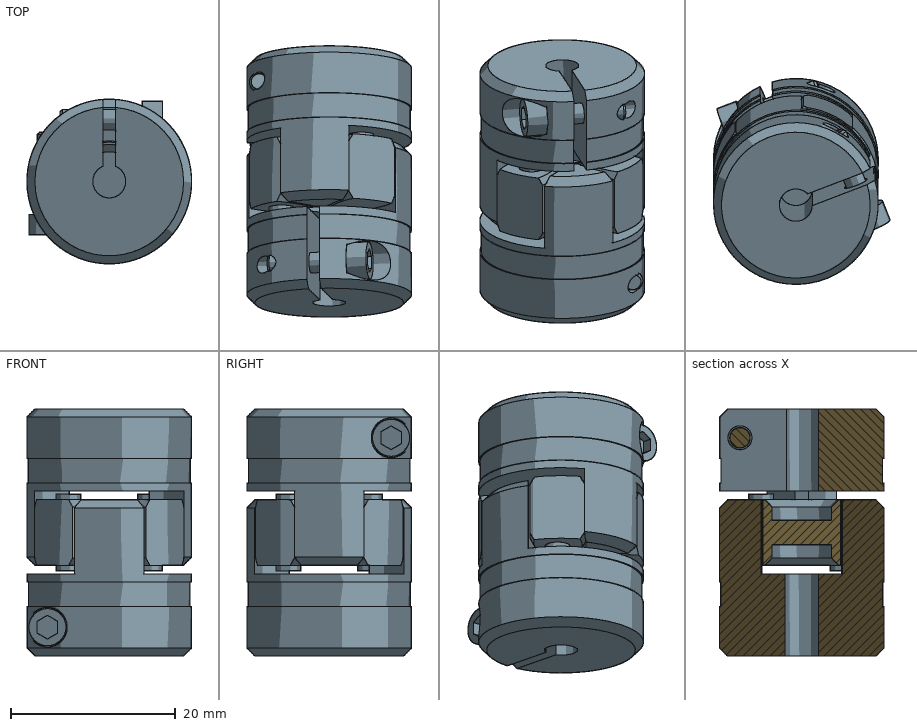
import cadquery as cq
import math


length = 30.0
outer_diameter = 20.0
outer_radius = outer_diameter / 2
half_length = length / 2

bore_diameter = 4.0
end_chamfer = 1.0
clamp_length = 6.0
groove_length = 3.0
groove_radius = 9.85
flange_thickness = 1.0
slot_width = 1.55
groove_top = half_length - clamp_length
groove_bottom = groove_top - groove_length
flange_face = groove_bottom - flange_thickness

jaw_end = 4.0
jaw_width = 8.5
jaw_inner_radius = 4.92
flank_center = 11.07
jaw_corner = math.sqrt(outer_radius**2 - (jaw_width / 2) ** 2)
flank_radius = math.hypot(jaw_corner, flank_center - jaw_width / 2)

screw_offset = 7.5
screw_height = half_length - 3.5
screw_diameter = 2.5
screw_seat = 4.0
screw_tip = 6.0
screw_tip_chamfer = 0.3
head_diameter = 4.5
head_length = 2.5
socket_width = 2.5
socket_depth = 1.25
counterbore_diameter = 4.8
clearance_diameter = 2.9
thread_diameter = 2.05

spider_half_height = jaw_end
spider_core_radius = 4.77
flank_gap = 0.2
lead_in_width = 0.48
lead_in_height = 0.87
recess_diameter = 7.2
recess_chamfer = 0.9
recess_depth = 2.5
bump_diameter = 3.0
bump_height = 0.65
bump_circle_radius = 7.0


def disc(radius, bottom, top):
    """Solid cylinder on the coupling axis between two heights."""
    return cq.Workplane("XY").workplane(offset=bottom).circle(radius).extrude(top - bottom)


def rod(diameter, start, end):
    """Solid cylinder on the upper clamp screw's axis, from one X to another."""
    plane = cq.Workplane("YZ", origin=(start, screw_offset, screw_height))
    return plane.circle(diameter / 2).extrude(end - start)


def spider_space():
    """Space between the two jaws of the upper hub, below its flange."""
    space = disc(jaw_inner_radius, -jaw_end, flange_face)
    for side in (-1, 1):
        flank = disc(flank_radius, -jaw_end, flange_face)
        space = space.union(flank.translate((0, side * flank_center, 0)))
    return space


def clamp_screw():
    """Socket head screw along X with its head toward +X."""
    shank = rod(screw_diameter, -screw_tip, screw_seat).faces("<X").chamfer(screw_tip_chamfer)
    head_end = screw_seat + head_length
    head = rod(head_diameter, screw_seat, head_end)
    socket = (
        cq.Workplane("YZ", origin=(head_end, screw_offset, screw_height))
        .polygon(6, socket_width, circumscribed=True)
        .extrude(-socket_depth)
    )
    return shank.union(head.cut(socket))


def clamp_hub():
    """Upper hub: clamp slot toward +Y, two jaws toward -Z at -X and +X."""
    hub = disc(outer_radius, -jaw_end, half_length).faces("<Z or >Z").chamfer(end_chamfer)
    groove = disc(outer_diameter, groove_bottom, groove_top)
    hub = hub.cut(groove.cut(disc(groove_radius, groove_bottom, groove_top)))
    hub = hub.cut(spider_space())
    hub = hub.cut(disc(bore_diameter / 2, flange_face, half_length))

    slot = cq.Workplane("XY", origin=(0, 0, flange_face)).rect(slot_width, outer_diameter)
    slot = slot.extrude(half_length - flange_face).translate((0, outer_radius, 0))
    hub = hub.cut(slot)

    hub = hub.cut(rod(thread_diameter, -outer_radius, 0))
    hub = hub.cut(rod(clearance_diameter, 0, screw_seat))
    hub = hub.cut(rod(counterbore_diameter, screw_seat, outer_radius))
    return hub.union(clamp_screw())


def flank_barrel(radius):
    """Cylinder with tapered ends whose side forms one flank of a spider arm."""
    straight_half_height = spider_half_height - lead_in_height
    end_radius = radius - lead_in_width
    return (
        cq.Workplane("XZ")
        .moveTo(0, -spider_half_height)
        .lineTo(end_radius, -spider_half_height)
        .lineTo(radius, -straight_half_height)
        .lineTo(radius, straight_half_height)
        .lineTo(end_radius, spider_half_height)
        .lineTo(0, spider_half_height)
        .close()
        .revolve(360, (0, 0, 0), (0, 1, 0))
    )


def spider_arm(x_side, y_side):
    """One arm between an X jaw and a Y jaw, with a round bump on alternately its top or bottom."""
    x_jaw_flank = flank_barrel(flank_radius).translate((0, y_side * flank_center, 0))
    y_jaw_flank = flank_barrel(flank_radius - flank_gap).translate((x_side * flank_center, 0, 0))
    arm = disc(outer_radius, -spider_half_height, spider_half_height)
    arm = arm.intersect(x_jaw_flank).intersect(y_jaw_flank)
    bump = disc(bump_diameter / 2, 0, spider_half_height + bump_height)
    if x_side != y_side:
        bump = bump.mirror("XY")
    bump_place = bump_circle_radius / math.sqrt(2)
    return arm.union(bump.translate((x_side * bump_place, y_side * bump_place, 0)))


def coupling_spider():
    """Round core with four arms and a chamfered blind recess in each end."""
    spider = disc(spider_core_radius, -spider_half_height, spider_half_height)
    for x_side in (-1, 1):
        for y_side in (-1, 1):
            spider = spider.union(spider_arm(x_side, y_side))
    recess_floor = spider_half_height - recess_depth
    recess = disc(recess_diameter / 2, recess_floor, spider_half_height)
    mouth = cq.Workplane(
        cq.Solid.makeCone(
            recess_diameter / 2,
            recess_diameter / 2 + recess_chamfer,
            recess_chamfer,
            pnt=cq.Vector(0, 0, spider_half_height - recess_chamfer),
        )
    )
    top_recess = recess.union(mouth)
    return spider.cut(top_recess).cut(top_recess.mirror("XY"))


spider = coupling_spider()

hub_turns = (0, 180)
hubs = [clamp_hub().rotate((0, 0, 0), (1, -1, 0), turn) for turn in hub_turns]

bodies = [spider, *hubs]
result = cq.Compound.makeCompound([body.solids().val() for body in bodies])